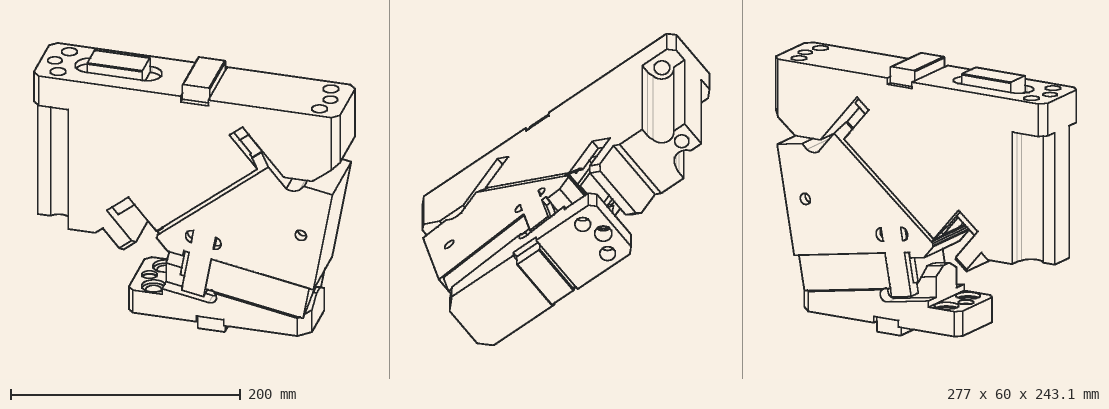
import cadquery as cq
import math

LENGTH = 277.0
WIDTH = 60.0
HALF_WIDTH = WIDTH / 2
TOP_Z = 224.5
OVERSIZE = 166.2

SLIDE_ANGLE = 40.0
SLIDE_ORIGIN = (112.5, 85.3)
RAMP_ANGLE = -10.0
RAMP_ORIGIN = (117.7, 54.3)

CORNER_CHAMFER = 6.0
HOUSING_BOTTOM_Z = 74.8
NOSE_BOTTOM_Z = 157.5
NOSE_FLAT_END_X = 253.7
NOSE_TIP_Z = 176.7
LOWER_SLOT_WIDTH = 25.5
RETAINER_THICKNESS = 14.7
RETAINER_ROOT_U = 27.5
RETAINER_CHAMFER = 4.5
UPPER_SLOT_START = 119.5
UPPER_SLOT_END = 135.0
SLOT_TOP_U = 39.3
LOWER_SLOT_RELIEF = 1.0
FLANGE_BOTTOM_Z = 194.7
WEB_HALF_WIDTH = 12.2
SCALLOP_DEEP_CENTRE = (20.8, 17.7)
SCALLOP_DEEP_RADIUS = 10.5
SCALLOP_MOUTH_CENTRE = (20.2, 22.5)
SCALLOP_MOUTH_RADIUS = 12.5
SCREW_DIAMETER = 13.5
SCREW_Y = 18.0
DOWEL_DIAMETER = 12.5
HOUSING_SCREW_X = (20.2, 256.8)
HOUSING_DOWEL_X = (12.2, 261.5)

KEY_WIDTH = 25.0
KEY_LENGTH = 49.9
KEY_RECESS = 5.8
TOP_KEY_STANDOUT = 9.1
BASE_KEY_STANDOUT = 9.5
KEY_CHAMFER = 0.8
TOP_KEY_X = 147.0
BASE_KEY_X = 161.0
LONG_KEY_X = 69.8
LONG_KEY_SLOT_LENGTH = 77.5

TONGUE_HALF_WIDTH = 21.3
BEVEL_TOP_Y = 23.3
RIB_HALF_WIDTH = 13.8
TONGUE_TOP_U = 28.3
TONGUE_START = 6.5
BEVEL_HEIGHT = 12.7
SLIDER_TOP_U = -3.5
SLIDER_LIP_U = -1.0
SLIDER_END = 129.4

SLIDER_HEEL = -4.2
HEEL_BOTTOM_U = -20.8
HEEL_TOP_U = -5.3
HEEL_LEDGE_END = -3.3
HEEL_RISER_TOP = -2.0
RELIEF_START_U = -28.8
RELIEF_MIDDLE = (236.3, 145.1)
RELIEF_END = (241.8, 147.0)
SLIDER_TOP_START_E = 109.7
SLIDER_HEEL_N = 13.3
SLIDER_BOTTOM_N = 18.3
SLIDER_TOP_N = 118.0
SLIDER_RIGHT_E = 135.7
SKIRT_HALF_WIDTH = 23.3
SKIRT_START_E = 16.5
SKIRT_END_E = 131.5
FOOT_LOWEST_N = -16.5
PLATE_HALF_WIDTH = 28.8
LEG_START_E = 21.5
LEG_END_E = 41.8
LEG_BOTTOM_N = -21.0
LEG_INNER_Y = 18.0
LEG_HOLE_N = 35.0
LEG_HOLE_DIAMETER = 12.2
LEG_HOLE_DEPTH = 6.6
SIDE_HOLE_CENTRE = (243.2, 101.7)
SIDE_HOLE_DIAMETER = 10.0
SIDE_HOLE_DEPTH = 8.3
DRILL_POINT_DEPTH = 2.8

BASE_LEFT_X = 86.1
BASE_RIGHT_X = 250.5
FLANGE_TOP_Z = 22.7
BASE_LEFT_CHAMFER = 5.3
BASE_RIGHT_CHAMFER = 10.2
ROOF_FLAT_HALF_WIDTH = 5.0
ROOF_ANGLE = 30.0
RIDGE_HALF_WIDTH = 17.2
GROOVE_FLOOR_N = -25.5
GROOVE_ENTRY_E = -8.3
GROOVE_END_E = 47.0
GROOVE_RADIUS = 6.0
BASE_SCREW_X = 106.6
BASE_DOWEL_X = 97.8
BASE_DOWEL_DIAMETER = 13.3
BASE_DOWEL_DEPTH = 3.3
BASE_DOWEL_RELIEF_DIAMETER = 15.0
COUNTERBORE_DIAMETER = 21.0
COUNTERBORE_DEPTH = 3.3


def from_frame(origin, angle, along, across):
    """Turn a point of a tilted frame into an (X, Z) point."""
    cosine = math.cos(math.radians(angle))
    sine = math.sin(math.radians(angle))
    return (origin[0] + along * cosine - across * sine, origin[1] + along * sine + across * cosine)


def slide(t, u):
    return from_frame(SLIDE_ORIGIN, SLIDE_ANGLE, t, u)


def ramp(e, n):
    return from_frame(RAMP_ORIGIN, RAMP_ANGLE, e, n)


def side_prism(points, y_start, y_end):
    """Extrude an (X, Z) outline from y_start to y_end."""
    outline = cq.Workplane("XZ").polyline(points).close()
    return outline.extrude(y_start - y_end).translate((0, y_start, 0))


def centred_prism(points, half_width):
    return side_prism(points, -half_width, half_width)


def mirrored_prism(points, inner_y, outer_y):
    """Two equal prisms, one on each side of the middle plane."""
    return side_prism(points, inner_y, outer_y).union(side_prism(points, -outer_y, -inner_y))


def slide_box(t_start, t_end, u_start, u_end):
    return [slide(t_start, u_start), slide(t_end, u_start), slide(t_end, u_end), slide(t_start, u_end)]


def ramp_box(e_start, e_end, n_start, n_end):
    return [ramp(e_start, n_start), ramp(e_end, n_start), ramp(e_end, n_end), ramp(e_start, n_end)]


def frame_prism(frame, angle, start, end, section):
    """Extrude a (Y, height) section along a tilted frame from start to end."""
    x, z = frame(start, 0)
    along = (math.cos(math.radians(angle)), 0, math.sin(math.radians(angle)))
    plane = cq.Plane(origin=(x, 0, z), xDir=(0, 1, 0), normal=along)
    return cq.Workplane(plane).polyline(section).close().extrude(end - start)


def mirrored_section(right_half):
    """Complete a (Y, height) section from its +Y half, listed from bottom to top."""
    return right_half + [(-y, height) for y, height in reversed(right_half)]


def vertical_holes(points, diameter, z_start, z_end):
    holes = cq.Workplane("XY").workplane(offset=z_start).pushPoints(points)
    return holes.circle(diameter / 2).extrude(z_end - z_start)


def key_block(x, length_x, length_y, z_start, z_end, chamfered_face, chamfered_edges):
    block = cq.Workplane("XY").box(length_x, length_y, z_end - z_start, centered=(True, True, False))
    block = block.faces(chamfered_face).edges(chamfered_edges).chamfer(KEY_CHAMFER)
    return block.translate((x, 0, z_start))


def housing_blank():
    retainer_left = -LOWER_SLOT_WIDTH - RETAINER_THICKNESS
    relief_end = LOWER_SLOT_RELIEF - LOWER_SLOT_WIDTH
    root_x, root_z = slide(retainer_left, RETAINER_ROOT_U)
    root_run = (root_z - HOUSING_BOTTOM_Z) / math.tan(math.radians(SLIDE_ANGLE))
    nose_depth = (slide(UPPER_SLOT_END, 0)[1] - NOSE_BOTTOM_Z) / math.cos(math.radians(SLIDE_ANGLE))
    outline = [
        (0, HOUSING_BOTTOM_Z),
        (root_x - root_run, HOUSING_BOTTOM_Z),
        (root_x, root_z),
        slide(retainer_left, 0),
        slide(-LOWER_SLOT_WIDTH, 0),
        slide(-LOWER_SLOT_WIDTH, SLOT_TOP_U),
        slide(relief_end, SLOT_TOP_U),
        slide(relief_end, TONGUE_TOP_U),
        slide(0, TONGUE_TOP_U),
        slide(0, 0),
        slide(UPPER_SLOT_START, 0),
        slide(UPPER_SLOT_START, TONGUE_TOP_U),
        slide(UPPER_SLOT_END, TONGUE_TOP_U),
        slide(UPPER_SLOT_END, -nose_depth),
        (NOSE_FLAT_END_X, NOSE_BOTTOM_Z),
        (LENGTH, NOSE_TIP_Z),
        (LENGTH, TOP_Z),
        (0, TOP_Z),
    ]
    blank = centred_prism(outline, HALF_WIDTH)
    envelope = cq.Workplane("XY").box(LENGTH, WIDTH, TOP_Z, centered=(False, True, False))
    return blank.intersect(envelope.edges("|Z").chamfer(CORNER_CHAMFER))


def retainer_chamfers():
    """Bevels on the two side edges of the retainer tip."""
    edge = [
        (HALF_WIDTH - RETAINER_CHAMFER, 0),
        (HALF_WIDTH, RETAINER_CHAMFER),
        (HALF_WIDTH, 0),
    ]
    left = -LOWER_SLOT_WIDTH - RETAINER_THICKNESS
    bevel = frame_prism(slide, SLIDE_ANGLE, left, -LOWER_SLOT_WIDTH, edge)
    return bevel.union(bevel.mirror("XZ"))


def slot_side_pockets():
    """Shallow pockets that carry the slots higher on both outer sides."""
    pockets = [(-LOWER_SLOT_WIDTH, 0), (UPPER_SLOT_START, UPPER_SLOT_END)]
    cutters = [
        mirrored_prism(slide_box(start, end, 0, SLOT_TOP_U), TONGUE_HALF_WIDTH, HALF_WIDTH)
        for start, end in pockets
    ]
    return cutters[0].union(cutters[1])


def tongue_channel():
    section = mirrored_section([
        (HALF_WIDTH, 0),
        (BEVEL_TOP_Y, BEVEL_HEIGHT),
        (TONGUE_HALF_WIDTH, BEVEL_HEIGHT),
        (TONGUE_HALF_WIDTH, TONGUE_TOP_U),
    ])
    channel = frame_prism(slide, SLIDE_ANGLE, 0, UPPER_SLOT_START, section)
    rib = centred_prism(slide_box(0, UPPER_SLOT_START, 0, TONGUE_TOP_U), RIB_HALF_WIDTH)
    return channel.cut(rib)


def screw_access():
    """Open scallops below the left flange, one on each side of the web."""
    x, y = SCALLOP_MOUTH_CENTRE
    height = FLANGE_BOTTOM_Z - HOUSING_BOTTOM_Z
    mouth = cq.Workplane("XY").center(x, y).circle(SCALLOP_MOUTH_RADIUS).extrude(height)
    deep = cq.Workplane("XY").center(*SCALLOP_DEEP_CENTRE).circle(SCALLOP_DEEP_RADIUS).extrude(height)
    outer = cq.Workplane("XY").box(x + SCALLOP_MOUTH_RADIUS, HALF_WIDTH - y, height, centered=False)
    inner = cq.Workplane("XY").box(x, HALF_WIDTH - WEB_HALF_WIDTH, height, centered=False)
    opening = mouth.union(deep).union(outer.translate((0, y, 0)))
    opening = opening.union(inner.translate((0, WEB_HALF_WIDTH, 0)))
    opening = opening.translate((0, 0, HOUSING_BOTTOM_Z))
    return opening.union(opening.mirror("XZ"))


def top_keys():
    seat_z = TOP_Z - KEY_RECESS
    tip_z = TOP_Z + TOP_KEY_STANDOUT
    cross_key = key_block(TOP_KEY_X, KEY_WIDTH, KEY_LENGTH, seat_z, tip_z, ">Z", "|Y")
    long_key = key_block(LONG_KEY_X, KEY_LENGTH, KEY_WIDTH, seat_z, tip_z, ">Z", "|X")
    return cross_key.union(long_key)


def top_key_seats():
    seat = cq.Workplane("XY").workplane(offset=TOP_Z - KEY_RECESS)
    cross_seat = seat.center(TOP_KEY_X, 0).rect(KEY_WIDTH, WIDTH).extrude(KEY_RECESS)
    long_seat = seat.center(LONG_KEY_X, 0).slot2D(LONG_KEY_SLOT_LENGTH, KEY_WIDTH).extrude(KEY_RECESS)
    return cross_seat.union(long_seat)


def make_housing():
    screws = [(x, y) for x in HOUSING_SCREW_X for y in (-SCREW_Y, SCREW_Y)]
    dowels = [(x, 0) for x in HOUSING_DOWEL_X]
    housing = housing_blank().cut(tongue_channel()).cut(slot_side_pockets()).cut(retainer_chamfers())
    housing = housing.cut(screw_access())
    housing = housing.cut(vertical_holes(screws, SCREW_DIAMETER, 0, TOP_Z))
    housing = housing.cut(vertical_holes(dowels, DOWEL_DIAMETER, 0, TOP_Z))
    return housing.cut(top_key_seats()).union(top_keys())


def roof_drop(y):
    return (abs(y) - ROOF_FLAT_HALF_WIDTH) * math.tan(math.radians(ROOF_ANGLE))


def roof_prism():
    """Everything below the sloping roof of the base."""
    section = mirrored_section([
        (HALF_WIDTH, -OVERSIZE),
        (HALF_WIDTH, -roof_drop(HALF_WIDTH)),
        (ROOF_FLAT_HALF_WIDTH, 0),
    ])
    return frame_prism(ramp, RAMP_ANGLE, -OVERSIZE, 2 * OVERSIZE, section)


def slider_body():
    outline = (
        cq.Workplane("XZ")
        .moveTo(*slide(SLIDER_HEEL, HEEL_BOTTOM_U))
        .lineTo(*slide(SLIDER_HEEL, HEEL_TOP_U))
        .lineTo(*slide(HEEL_LEDGE_END, HEEL_TOP_U))
        .lineTo(*slide(HEEL_RISER_TOP, SLIDER_TOP_U))
        .lineTo(*slide(SLIDER_END, SLIDER_TOP_U))
        .lineTo(*slide(SLIDER_END, RELIEF_START_U))
        .threePointArc(RELIEF_MIDDLE, RELIEF_END)
        .lineTo(*ramp(SLIDER_TOP_START_E, SLIDER_TOP_N))
        .lineTo(*ramp(SLIDER_RIGHT_E, SLIDER_TOP_N))
        .lineTo(*ramp(SLIDER_RIGHT_E, SLIDER_BOTTOM_N))
        .lineTo(*ramp(SKIRT_START_E, SLIDER_BOTTOM_N))
        .lineTo(*ramp(SKIRT_START_E, SLIDER_HEEL_N))
        .close()
    )
    return outline.extrude(HALF_WIDTH, both=True)


def slider_tongue():
    bevel_top = SLIDER_TOP_U + BEVEL_HEIGHT
    bevel_slope = (HALF_WIDTH - BEVEL_TOP_Y) / BEVEL_HEIGHT
    lip_y = HALF_WIDTH - (SLIDER_LIP_U - SLIDER_TOP_U) * bevel_slope
    lip = mirrored_section([(HALF_WIDTH, SLIDER_TOP_U), (lip_y, SLIDER_LIP_U)])
    tongue = mirrored_section([
        (HALF_WIDTH, SLIDER_TOP_U),
        (BEVEL_TOP_Y, bevel_top),
        (TONGUE_HALF_WIDTH, bevel_top),
        (TONGUE_HALF_WIDTH, TONGUE_TOP_U),
    ])
    tall = frame_prism(slide, SLIDE_ANGLE, TONGUE_START, SLIDER_END, tongue)
    groove = centred_prism(slide_box(TONGUE_START, SLIDER_END, SLIDER_LIP_U, TONGUE_TOP_U), RIB_HALF_WIDTH)
    return tall.cut(groove).union(frame_prism(slide, SLIDE_ANGLE, 0, TONGUE_START, lip))


def slider_foot():
    """Skirt and side plates that straddle the roof of the base."""
    skirt_outline = ramp_box(SKIRT_START_E, SKIRT_END_E, FOOT_LOWEST_N, SLIDER_BOTTOM_N)
    plate_outline = ramp_box(LEG_END_E, SKIRT_END_E, FOOT_LOWEST_N, SLIDER_BOTTOM_N)
    skirt = centred_prism(skirt_outline, SKIRT_HALF_WIDTH)
    plates = centred_prism(plate_outline, PLATE_HALF_WIDTH)
    return skirt.union(plates).cut(roof_prism())


def slider_legs():
    outline = ramp_box(LEG_START_E, LEG_END_E, LEG_BOTTOM_N, SLIDER_BOTTOM_N)
    return mirrored_prism(outline, LEG_INNER_Y, HALF_WIDTH)


def leg_half_holes():
    """Half-round pockets just outside the lines that continue the leg edges."""
    strip = mirrored_prism(ramp_box(LEG_START_E, LEG_END_E, 0, SLIDER_TOP_N), 0, HALF_WIDTH)
    centres = [ramp(e, LEG_HOLE_N) for e in (LEG_START_E, LEG_END_E)]
    discs = cq.Workplane("XZ").pushPoints(centres).circle(LEG_HOLE_DIAMETER / 2).extrude(-LEG_HOLE_DEPTH)
    front = discs.translate((0, -HALF_WIDTH, 0))
    return front.union(front.mirror("XZ")).cut(strip)


def slider_side_holes():
    """Blind drilled holes with conical ends."""
    x, z = SIDE_HOLE_CENTRE
    radius = SIDE_HOLE_DIAMETER / 2
    tip = SIDE_HOLE_DEPTH + DRILL_POINT_DEPTH
    half_section = [(0, 0), (radius, 0), (radius, SIDE_HOLE_DEPTH), (0, tip)]
    hole = cq.Workplane("XY").polyline(half_section).close().revolve(360, (0, 0, 0), (0, 1, 0))
    hole = hole.translate((x, -HALF_WIDTH, z))
    return hole.union(hole.mirror("XZ"))


def make_slider():
    slider = slider_body().union(slider_tongue()).union(slider_foot()).union(slider_legs())
    return slider.cut(leg_half_holes()).cut(slider_side_holes())


def base_blank():
    length = BASE_RIGHT_X - BASE_LEFT_X
    blank = cq.Workplane("XY").box(length, WIDTH, TOP_Z, centered=(False, True, False))
    blank = blank.edges("|Z and <X").chamfer(BASE_LEFT_CHAMFER)
    blank = blank.edges("|Z and >X").chamfer(BASE_RIGHT_CHAMFER)
    blank = blank.translate((BASE_LEFT_X, 0, 0)).intersect(roof_prism())
    flange_length = RAMP_ORIGIN[0] - BASE_LEFT_X
    step = cq.Workplane("XY").box(flange_length, WIDTH, TOP_Z, centered=(False, True, False))
    return blank.cut(step.translate((BASE_LEFT_X, 0, FLANGE_TOP_Z)))


def leg_grooves():
    """Side grooves that clear the slider legs, with a round blind end."""
    open_part = ramp_box(GROOVE_ENTRY_E, GROOVE_END_E, GROOVE_FLOOR_N, OVERSIZE)
    x, z = ramp(GROOVE_END_E, GROOVE_FLOOR_N + GROOVE_RADIUS)
    round_end = cq.Workplane("XZ").center(x, z).circle(GROOVE_RADIUS).extrude(HALF_WIDTH - RIDGE_HALF_WIDTH)
    round_end = round_end.translate((0, -RIDGE_HALF_WIDTH, 0))
    grooves = mirrored_prism(open_part, RIDGE_HALF_WIDTH, HALF_WIDTH)
    return grooves.union(round_end).union(round_end.mirror("XZ"))


def make_base():
    screws = [(BASE_SCREW_X, y) for y in (-SCREW_Y, SCREW_Y)]
    seat_z = FLANGE_TOP_Z - COUNTERBORE_DEPTH
    base = base_blank().cut(leg_grooves())
    base = base.cut(vertical_holes(screws, SCREW_DIAMETER, 0, FLANGE_TOP_Z))
    base = base.cut(vertical_holes(screws, COUNTERBORE_DIAMETER, seat_z, FLANGE_TOP_Z))
    dowel = [(BASE_DOWEL_X, 0)]
    base = base.cut(vertical_holes(dowel, BASE_DOWEL_DIAMETER, 0, FLANGE_TOP_Z))
    base = base.cut(vertical_holes(dowel, BASE_DOWEL_RELIEF_DIAMETER, 0, FLANGE_TOP_Z - BASE_DOWEL_DEPTH))
    key_seat = cq.Workplane("XY").center(BASE_KEY_X, 0).rect(KEY_WIDTH, WIDTH).extrude(KEY_RECESS)
    key = key_block(BASE_KEY_X, KEY_WIDTH, KEY_LENGTH, -BASE_KEY_STANDOUT, KEY_RECESS, "<Z", "|Y")
    return base.cut(key_seat).union(key)


housing = make_housing()
slider = make_slider()
base = make_base()
result = cq.Compound.makeCompound([body.solids().val() for body in (housing, slider, base)])